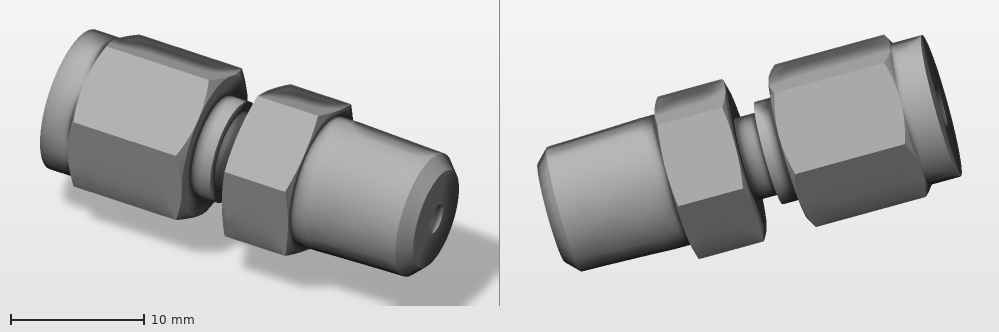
import cadquery as cq
import math

LENGTH = 30.48
FLANGE_END = 2.35
NUT_END = 11.92
COLLAR_END = 13.5
BODY_HEX_START = 15.27
BODY_HEX_END = 20.82
TAPER_START = 22.3
TIP_CHAMFER = 1.0

ACROSS_FLATS = 11.13
CORNER_RADIUS = ACROSS_FLATS / math.sqrt(3)
NUT_CHAMFER_ANGLE = 30.0
BODY_CHAMFER_ANGLE = 15.0

FLANGE_RADIUS = 5.52
COLLAR_RADIUS = 4.0
NECK_RADIUS = 3.2
THREAD_RADIUS = 5.1
THREAD_TAPER = 1 / 32

TUBE_DIAMETER = 3.2
BORE_DIAMETER = 2.3
TUBE_SOCKET_DEPTH = BODY_HEX_START


def cylinder(start, end, radius):
    """Solid cylinder on the X axis between two stations."""
    return cq.Workplane("YZ", origin=(start, 0, 0)).circle(radius).extrude(end - start)


def revolved(profile):
    """Solid of revolution about the X axis from (station, radius) points."""
    return cq.Workplane("XY").polyline(profile).close().revolve(360, (0, 0), (1, 0))


def hexagon(start, end, chamfer_angle):
    """Hexagonal prism whose corners are turned down to the inscribed circle at both ends."""
    prism = (
        cq.Workplane("YZ", origin=(start, 0, 0))
        .polygon(6, 2 * CORNER_RADIUS)
        .extrude(end - start)
        .rotate((0, 0, 0), (1, 0, 0), 90)
    )
    inscribed = ACROSS_FLATS / 2
    run = (CORNER_RADIUS - inscribed) * math.tan(math.radians(chamfer_angle))
    envelope = revolved([
        (start, 0),
        (start, inscribed),
        (start + run, CORNER_RADIUS),
        (end - run, CORNER_RADIUS),
        (end, inscribed),
        (end, 0),
    ])
    return prism.intersect(envelope)


def threaded_end():
    """Straight shank, tapered thread envelope and 45 degree tip chamfer."""
    taper_end = LENGTH - TIP_CHAMFER
    taper_end_radius = THREAD_RADIUS - THREAD_TAPER * (taper_end - TAPER_START)
    return revolved([
        (BODY_HEX_END, 0),
        (BODY_HEX_END, THREAD_RADIUS),
        (TAPER_START, THREAD_RADIUS),
        (taper_end, taper_end_radius),
        (LENGTH, taper_end_radius - TIP_CHAMFER),
        (LENGTH, 0),
    ])


fitting = cylinder(0, FLANGE_END, FLANGE_RADIUS)
fitting = fitting.union(hexagon(FLANGE_END, NUT_END, NUT_CHAMFER_ANGLE))

fitting = fitting.union(cylinder(NUT_END, COLLAR_END, COLLAR_RADIUS))
fitting = fitting.union(cylinder(COLLAR_END, BODY_HEX_START, NECK_RADIUS))

fitting = fitting.union(hexagon(BODY_HEX_START, BODY_HEX_END, BODY_CHAMFER_ANGLE))
fitting = fitting.union(threaded_end())

fitting = fitting.cut(cylinder(0, TUBE_SOCKET_DEPTH, TUBE_DIAMETER / 2))
result = fitting.cut(cylinder(TUBE_SOCKET_DEPTH, LENGTH, BORE_DIAMETER / 2))